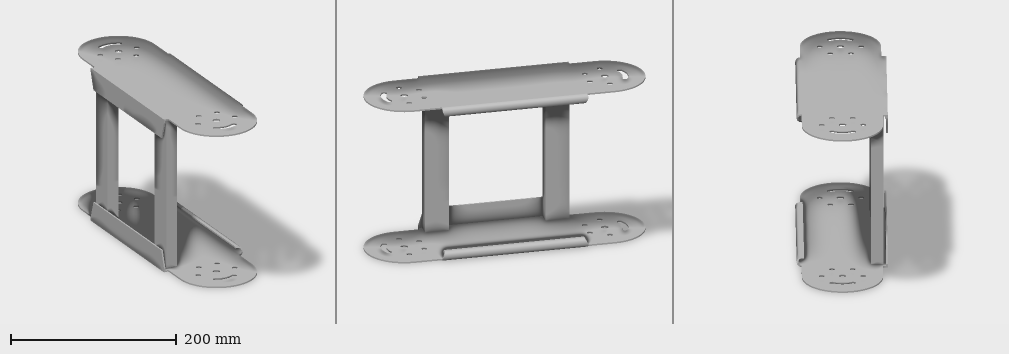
import cadquery as cq
import math

plate_length = 348.0
frame_height = 199.0
sheet = 2.0

plate_width = 98.0
end_radius = plate_width / 2
end_center_x = plate_length / 2 - end_radius

pivot_hole_diameter = 9.0
bolt_circle_radius = 25.0
bolt_hole_diameter = 7.0
bolt_hole_angles = (90, 150, 210, 270)
slot_width = 7.0
slot_half_angle = 30

flange_overhang = 6.0
flange_root_length = 187.2
flange_tip_length = 173.3
flange_height = 26.5
flange_straight_depth = 5.0

hook_length = 181.3
hook_straight_depth = 4.2
hook_end_setback = 3.5
hook_outer_radius = 6.0
hook_lip = 3.0

post_width = 30.0
post_depth = 15.0
post_span = 180.0
post_gap_to_sheet = 1.15
post_gap_to_flange = 3.0

plate_top = frame_height / 2
plate_underside = plate_top - sheet
plate_edge = plate_width / 2
flange_face = -plate_edge - flange_overhang
post_height = frame_height - 2 * (sheet + post_gap_to_sheet)
post_center_x = (post_span - post_width) / 2
post_center_y = flange_face + sheet + post_gap_to_flange + post_depth / 2


def plate_sheet():
    """Flat sheet with round ends."""
    return (
        cq.Workplane("XY", origin=(0, 0, plate_underside))
        .slot2D(plate_length, plate_width)
        .extrude(sheet)
    )


def tapered_slab(root_length, tip_length, straight_depth, height, thickness, start_y):
    """Slab facing -Y, hanging from the plate top and narrowing from its straight root to its tip."""
    root = root_length / 2
    tip = tip_length / 2
    taper_start = plate_top - straight_depth
    tip_z = plate_top - height
    return (
        cq.Workplane("XZ", origin=(0, start_y, 0))
        .polyline(
            [
                (-root, plate_top),
                (root, plate_top),
                (root, taper_start),
                (tip, tip_z),
                (-tip, tip_z),
                (-root, taper_start),
            ]
        )
        .close()
        .extrude(-thickness)
    )


def flange():
    """Strip that carries the sheet past its front edge, and the tapered flange hanging from it."""
    strip = cq.Workplane("XY", origin=(0, flange_face, plate_underside)).box(
        flange_root_length, flange_overhang + sheet, sheet, centered=(True, False, False)
    )
    face = tapered_slab(
        flange_root_length, flange_tip_length, flange_straight_depth, flange_height, sheet, flange_face
    )
    return strip.union(face)


def hook():
    """Half-round roll along the rear edge, ending in a short straight lip, with tapered ends."""
    inner_radius = hook_outer_radius - sheet
    center_z = plate_top - hook_outer_radius
    lip_end = plate_edge - hook_lip
    roll = (
        cq.Workplane("YZ", origin=(-hook_length / 2, 0, 0))
        .moveTo(lip_end, plate_top)
        .lineTo(plate_edge, plate_top)
        .threePointArc((plate_edge + hook_outer_radius, center_z), (plate_edge, center_z - hook_outer_radius))
        .lineTo(lip_end, center_z - hook_outer_radius)
        .lineTo(lip_end, center_z - inner_radius)
        .lineTo(plate_edge, center_z - inner_radius)
        .threePointArc((plate_edge + inner_radius, center_z), (plate_edge, plate_underside))
        .lineTo(lip_end, plate_underside)
        .close()
        .extrude(hook_length)
    )
    trimmed_ends = tapered_slab(
        hook_length,
        hook_length - 2 * hook_end_setback,
        hook_straight_depth,
        2 * hook_outer_radius,
        hook_lip + hook_outer_radius,
        lip_end,
    )
    return roll.intersect(trimmed_ends)


def polar(radius, angle):
    """Point at an angle in degrees about the centre of the right-hand hole pattern."""
    return (
        radius * math.cos(math.radians(angle)),
        radius * math.sin(math.radians(angle)),
    )


def hole_pattern():
    """Cutters for the right-hand end: pivot hole, bolt holes and curved slot facing the end."""
    base = cq.Workplane("XY", origin=(end_center_x, 0, plate_underside))
    bolt_points = [polar(bolt_circle_radius, angle) for angle in bolt_hole_angles]
    slot_inner = bolt_circle_radius - slot_width / 2
    slot_outer = bolt_circle_radius + slot_width / 2
    slot_start = polar(bolt_circle_radius, -slot_half_angle)
    slot_end = polar(bolt_circle_radius, slot_half_angle)
    slot = (
        base.moveTo(*polar(slot_outer, -slot_half_angle))
        .threePointArc((slot_outer, 0), polar(slot_outer, slot_half_angle))
        .lineTo(*polar(slot_inner, slot_half_angle))
        .threePointArc((slot_inner, 0), polar(slot_inner, -slot_half_angle))
        .close()
        .extrude(sheet)
    )
    slot_ends = base.pushPoints([slot_start, slot_end]).circle(slot_width / 2).extrude(sheet)
    pivot = base.circle(pivot_hole_diameter / 2).extrude(sheet)
    bolts = base.pushPoints(bolt_points).circle(bolt_hole_diameter / 2).extrude(sheet)
    return slot.union(slot_ends).union(pivot).union(bolts)


def make_upper_plate():
    right_holes = hole_pattern()
    left_holes = right_holes.mirror("YZ")
    return plate_sheet().union(flange()).union(hook()).cut(right_holes).cut(left_holes)


def make_post(center_x):
    return cq.Workplane("XY", origin=(center_x, post_center_y, 0)).box(post_width, post_depth, post_height)


upper_plate = make_upper_plate()
lower_plate = upper_plate.mirror("XY")
posts = [make_post(side * post_center_x) for side in (-1, 1)]

result = cq.Compound.makeCompound(
    [upper_plate.val(), lower_plate.val(), *[post.val() for post in posts]]
)